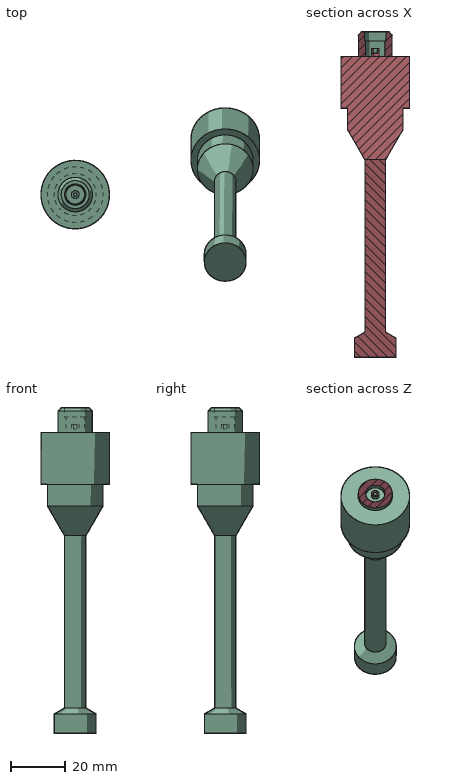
import cadquery as cq
import math

TOTAL_HEIGHT = 120.2
COLLAR_TOP = 111.1
COLLAR_BOTTOM = 92.0
CONE_TOP = 83.9
FOOT_RIM = 7.2

COLLAR_DIA = 25.4
SHOULDER_DIA = 20.6
ROD_DIA = 7.9
FOOT_DIA = 15.5
BARREL_DIA = 12.7
BARREL_MOUTH_DIA = 7.8
BARREL_BORE_DIA = 7.0
CONTACT_DIA = 2.9
CONTACT_HOLE_DIA = 1.3

BARREL_CHAMFER = 1.2
MOUTH_DEPTH = 3.4
CONTACT_HEIGHT = 3.0
CONTACT_HOLE_DEPTH = 1.8

TAPER_SLOPE = math.tan(math.radians(30))
CONE_BOTTOM = CONE_TOP - (SHOULDER_DIA - ROD_DIA) / 2 / TAPER_SLOPE
FOOT_TOP = FOOT_RIM + (FOOT_DIA - ROD_DIA) / 2 * TAPER_SLOPE


def cylinder(diameter, bottom, top):
    """Upright cylinder on the Z axis between two heights."""
    return cq.Workplane("XY").workplane(offset=bottom).circle(diameter / 2).extrude(top - bottom)


def revolve_profile(points):
    """Solid of revolution about Z from (radius, height) points."""
    return cq.Workplane("XZ").polyline(points).close().revolve(360, (0, 0), (0, 1))


def make_housing():
    """Collar with a narrower shoulder that tapers down to the rod."""
    return revolve_profile([
        (0, COLLAR_TOP),
        (COLLAR_DIA / 2, COLLAR_TOP),
        (COLLAR_DIA / 2, COLLAR_BOTTOM),
        (SHOULDER_DIA / 2, COLLAR_BOTTOM),
        (SHOULDER_DIA / 2, CONE_TOP),
        (ROD_DIA / 2, CONE_BOTTOM),
        (0, CONE_BOTTOM),
    ])


def make_rod():
    """Straight rod with a taper-topped foot, butting against the housing."""
    return revolve_profile([
        (0, 0),
        (FOOT_DIA / 2, 0),
        (FOOT_DIA / 2, FOOT_RIM),
        (ROD_DIA / 2, FOOT_TOP),
        (ROD_DIA / 2, CONE_BOTTOM),
        (0, CONE_BOTTOM),
    ])


def make_barrel():
    """Chamfered connector barrel with a stepped through bore."""
    barrel = cylinder(BARREL_DIA, COLLAR_TOP, TOTAL_HEIGHT).faces(">Z").chamfer(BARREL_CHAMFER)
    bore = cylinder(BARREL_BORE_DIA, COLLAR_TOP, TOTAL_HEIGHT)
    mouth = cylinder(BARREL_MOUTH_DIA, TOTAL_HEIGHT - MOUTH_DEPTH, TOTAL_HEIGHT)
    return barrel.cut(bore).cut(mouth)


def make_contact():
    """Centre contact standing in the barrel, with a blind socket hole."""
    contact_top = COLLAR_TOP + CONTACT_HEIGHT
    socket = cylinder(CONTACT_HOLE_DIA, contact_top - CONTACT_HOLE_DEPTH, contact_top)
    return cylinder(CONTACT_DIA, COLLAR_TOP, contact_top).cut(socket)


housing = make_housing()
rod = make_rod()
barrel = make_barrel()
contact = make_contact()

result = cq.Compound.makeCompound([
    housing.val(),
    rod.val(),
    barrel.val(),
    contact.val(),
])